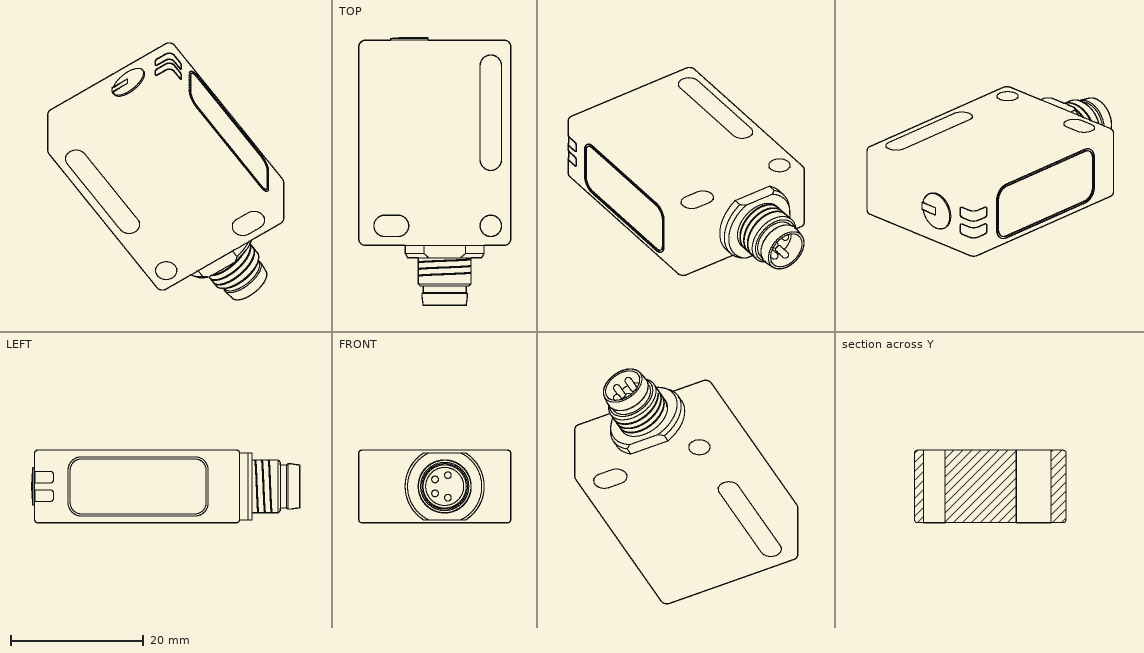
import cadquery as cq
import math

BODY_X = 23.0
OVERALL_Y = 40.5
BODY_Y = 31.02
BODY_Z = 11.0
SIDE_EDGE_RADIUS = 1.0
RIM_EDGE_RADIUS = 0.53

HOLE_DIAMETER = 3.2
HOLE_X = 8.45
HOLE_Y = 2.95
SHORT_SLOT_LENGTH = 5.22
SHORT_SLOT_X = -6.55
LONG_SLOT_LENGTH = 17.4
LONG_SLOT_Y = 20.05

WINDOW_Y = 21.2
WINDOW_Z = 8.95
WINDOW_CENTRE_Y = 15.35
WINDOW_CORNER_RADIUS = 2.02
GROOVE_WIDTH = 0.32
GROOVE_DEPTH = 0.12

LED_REACH = 2.88
LED_HEIGHT = 1.7
LED_SPACING = 2.8
LED_CORNER_RADIUS = 0.4
LED_RECESS = 0.1

ADJUSTER_X = -3.85
ADJUSTER_DIAMETER = 5.65
ADJUSTER_RIM_HEIGHT = 0.25
ADJUSTER_HEIGHT = 0.4
POINTER_WIDTH = 1.2

CONNECTOR_X = 1.5
NUT_DIAMETER = 11.95
NUT_FLATS = 10.15
NUT_LENGTH = 1.85
NUT_CHAMFER_LENGTH = 0.65
NUT_CHAMFER_DEPTH = 0.35
THREAD_DIAMETER = 8.0
THREAD_END = 6.15
THREAD_CHAMFER = 0.35
THREAD_PITCH = 1.0
THREAD_TURNS = 3
THREAD_START = 2.05
THREAD_GROOVE_WIDTH = 0.15
THREAD_GROOVE_DEPTH = 0.05
NECK_DIAMETER = 6.52
COLLAR_DIAMETER = 6.9
COLLAR_START = 7.1
COLLAR_RISE = 0.2
COLLAR_LENGTH = 0.5
CONNECTOR_END = OVERALL_Y - BODY_Y - ADJUSTER_HEIGHT
BORE_DIAMETER = 5.75
BORE_DEPTH = 2.88
PIN_DIAMETER = 1.0
PIN_LENGTH = 2.4
PIN_PLACES = [(-1.45, 1.05), (-1.45, -1.05), (0.5, 1.7), (0.5, -1.7)]

ROOT_DEPTH = 0.4


def along_connector(start, length, diameter, x=0, z=0):
    """Cylinder running forward (-Y), offset (x, z) from the connector axis."""
    return (
        cq.Workplane("XZ", origin=(CONNECTOR_X + x, -start, z))
        .circle(diameter / 2)
        .extrude(length)
    )


def rounded_block(inset=0.0):
    """Housing block with rounded edges, shrunk by inset on every face."""
    return (
        cq.Workplane("XY")
        .box(BODY_X - 2 * inset, BODY_Y - 2 * inset, BODY_Z - 2 * inset)
        .translate((0, BODY_Y / 2, 0))
        .edges("|Z")
        .fillet(SIDE_EDGE_RADIUS - inset)
        .faces("<Z or >Z")
        .edges()
        .fillet(RIM_EDGE_RADIUS - inset)
    )


def mounting_openings():
    sketch = cq.Workplane("XY", origin=(0, 0, -BODY_Z / 2))
    hole = sketch.center(HOLE_X, HOLE_Y).circle(HOLE_DIAMETER / 2).extrude(BODY_Z)
    short_slot = sketch.center(SHORT_SLOT_X, HOLE_Y).slot2D(SHORT_SLOT_LENGTH, HOLE_DIAMETER).extrude(BODY_Z)
    long_slot = sketch.center(HOLE_X, LONG_SLOT_Y).slot2D(LONG_SLOT_LENGTH, HOLE_DIAMETER, 90).extrude(BODY_Z)
    return hole.union(short_slot).union(long_slot)


def window_groove():
    def rounded_plate(inset):
        return (
            cq.Workplane("YZ", origin=(-BODY_X / 2, WINDOW_CENTRE_Y, 0))
            .rect(WINDOW_Y - 2 * inset, WINDOW_Z - 2 * inset)
            .extrude(GROOVE_DEPTH)
            .edges("|X")
            .fillet(WINDOW_CORNER_RADIUS - inset)
        )

    return rounded_plate(0).cut(rounded_plate(GROOVE_WIDTH))


def led_recesses():
    """Skin of the housing inside two strips that wrap round the rear corner."""
    skin = rounded_block().cut(rounded_block(LED_RECESS))
    strips = cq.Workplane("XY")
    for z in (-LED_SPACING / 2, LED_SPACING / 2):
        strip = (
            cq.Workplane("XY")
            .box(LED_REACH, LED_REACH, LED_HEIGHT)
            .translate(((LED_REACH - BODY_X) / 2, BODY_Y - LED_REACH / 2, z))
            .edges("(<Y and |X) or (>X and |Y)")
            .fillet(LED_CORNER_RADIUS)
        )
        strips = strips.add(strip)
    return skin.intersect(strips.combine())


def adjuster():
    """Shallow domed disc with a raised pointer towards +X."""
    radius = ADJUSTER_DIAMETER / 2
    rise = ADJUSTER_HEIGHT - ADJUSTER_RIM_HEIGHT
    dome_radius = (radius**2 + rise**2) / (2 * rise)
    middle = radius / 2
    middle_height = ADJUSTER_HEIGHT - dome_radius + math.sqrt(dome_radius**2 - middle**2)
    dome = (
        cq.Workplane("XY")
        .moveTo(0, -ROOT_DEPTH)
        .lineTo(radius, -ROOT_DEPTH)
        .lineTo(radius, ADJUSTER_RIM_HEIGHT)
        .threePointArc((middle, middle_height), (0, ADJUSTER_HEIGHT))
        .close()
        .revolve(360, (0, 0, 0), (0, 1, 0))
    )
    pointer = cq.Workplane("XY").box(radius, ADJUSTER_HEIGHT, POINTER_WIDTH, centered=(False, False, True))
    return dome.union(pointer).translate((ADJUSTER_X, BODY_Y, 0))


def connector_shell():
    """Turned profile of nut, threaded barrel, neck and snap collar."""
    nut_radius = NUT_DIAMETER / 2
    thread_radius = THREAD_DIAMETER / 2
    neck_radius = NECK_DIAMETER / 2
    collar_radius = COLLAR_DIAMETER / 2
    nut = (
        cq.Workplane("XY")
        .polyline([
            (0, ROOT_DEPTH),
            (nut_radius, ROOT_DEPTH),
            (nut_radius, NUT_CHAMFER_LENGTH - NUT_LENGTH),
            (nut_radius - NUT_CHAMFER_DEPTH, -NUT_LENGTH),
            (0, -NUT_LENGTH),
        ])
        .close()
        .revolve(360, (0, 0, 0), (0, 1, 0))
        .intersect(cq.Workplane("XY").box(NUT_DIAMETER, 2 * NUT_LENGTH, NUT_FLATS))
    )
    barrel = (
        cq.Workplane("XY")
        .polyline([
            (0, 0),
            (thread_radius, 0),
            (thread_radius, THREAD_CHAMFER - THREAD_END),
            (thread_radius - THREAD_CHAMFER, -THREAD_END),
            (neck_radius, -THREAD_END),
            (neck_radius, -COLLAR_START),
            (collar_radius, -COLLAR_START - COLLAR_RISE),
            (collar_radius, -COLLAR_START - COLLAR_RISE - COLLAR_LENGTH),
            (neck_radius, -CONNECTOR_END),
            (0, -CONNECTOR_END),
        ])
        .close()
        .revolve(360, (0, 0, 0), (0, 1, 0))
    )
    return nut.union(barrel.cut(thread_groove())).translate((CONNECTOR_X, 0, 0))


def thread_groove():
    """Shallow V groove wound round the barrel; its section reaches as far outside the barrel as inside."""
    radius = THREAD_DIAMETER / 2
    path = cq.Wire.makeHelix(THREAD_PITCH, THREAD_PITCH * THREAD_TURNS, radius)
    groove = (
        cq.Workplane("XZ")
        .polyline([
            (radius - THREAD_GROOVE_DEPTH, 0),
            (radius + THREAD_GROOVE_DEPTH, THREAD_GROOVE_WIDTH),
            (radius + THREAD_GROOVE_DEPTH, -THREAD_GROOVE_WIDTH),
        ])
        .close()
        .sweep(cq.Workplane(path), isFrenet=True)
    )
    return groove.rotate((0, 0, 0), (1, 0, 0), 90).translate((0, -THREAD_START, 0))


def pins():
    """Contact pins with hemispherical tips standing on the bore floor."""
    floor = CONNECTOR_END - BORE_DEPTH
    shank_length = PIN_LENGTH - PIN_DIAMETER / 2
    group = cq.Workplane("XY")
    for x, z in PIN_PLACES:
        shank = along_connector(floor - ROOT_DEPTH, ROOT_DEPTH + shank_length, PIN_DIAMETER, x, z)
        tip = cq.Workplane("XY").sphere(PIN_DIAMETER / 2)
        tip = tip.translate((CONNECTOR_X + x, -floor - shank_length, z))
        group = group.union(shank).union(tip)
    return group


housing = rounded_block().cut(mounting_openings()).cut(window_groove()).cut(led_recesses())
bore = along_connector(CONNECTOR_END - BORE_DEPTH, BORE_DEPTH, BORE_DIAMETER)
result = housing.union(adjuster()).union(connector_shell()).cut(bore).union(pins())